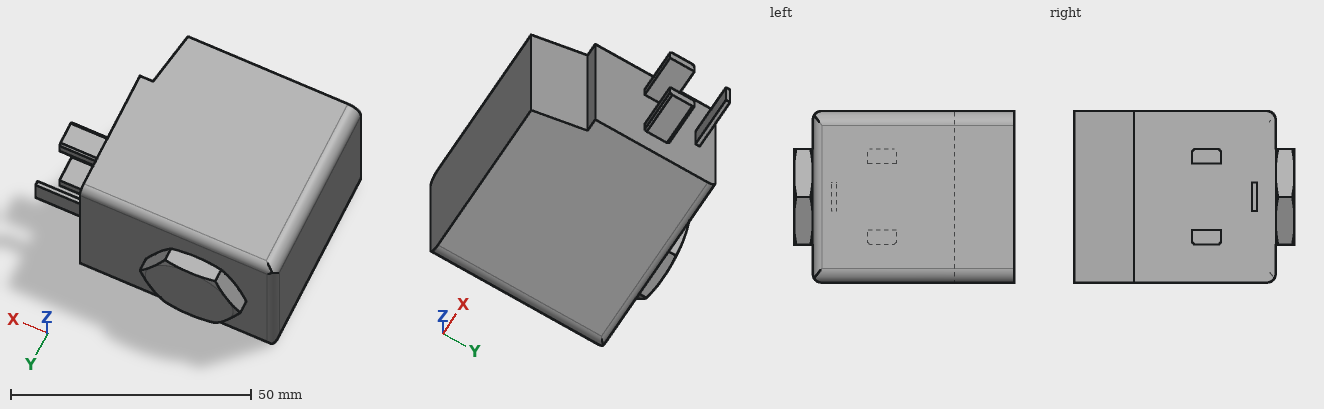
import cadquery as cq
import math

BODY_LENGTH = 45.0
BODY_DEPTH = 42.0
BODY_HEIGHT = 35.8
OVERALL_DEPTH = 45.9
SIDE_RADIUS = 3.0
BACK_RADIUS = 1.95

STEP_Y = 12.5
STEP_X = 41.95
FRONT_END_X = 39.8

HEX_SIDES = 6
NUT_ACROSS_FLATS = 20.0
NUT_X = 18.0
NUT_THICKNESS = OVERALL_DEPTH - BODY_DEPTH
NUT_FACE_RADIUS = 10.1
NUT_CHAMFER_ANGLE = 18

PIN_WIDTH = 6.0
BLADE_THICKNESS = 1.0
BLADE_TIP_X = 57
BLADE_Y = 37.55
SIDE_PIN_TIP_X = 55.0
SIDE_PIN_Y = 27.6
SIDE_PIN_THICKNESS = 3.0
SIDE_PIN_OUTER_Z = 10.0
SIDE_PIN_CHAMFER = 0.5


def rounded_block(edges, radius):
    block = cq.Workplane("XY").box(BODY_LENGTH, BODY_DEPTH, BODY_HEIGHT, centered=(False, False, True))
    return block.edges(edges).fillet(radius)


def make_housing():
    outline = [
        (0, 0),
        (FRONT_END_X, 0),
        (STEP_X, STEP_Y),
        (BODY_LENGTH, STEP_Y),
        (BODY_LENGTH, BODY_DEPTH),
        (0, BODY_DEPTH),
    ]
    body = cq.Workplane("XY").polyline(outline).close().extrude(BODY_HEIGHT / 2, both=True)
    side_rounded = rounded_block("|Y and <X", SIDE_RADIUS)
    left_back_rounded = rounded_block("|Z and >Y and <X", BACK_RADIUS)
    top_bottom_back_rounded = rounded_block("|X and >Y", BACK_RADIUS)
    body = body.intersect(side_rounded)
    body = body.intersect(left_back_rounded)
    return body.intersect(top_bottom_back_rounded)


def make_nut():
    across_corners = NUT_ACROSS_FLATS / math.cos(math.pi / HEX_SIDES)
    corner_radius = across_corners / 2
    chamfer_drop = (corner_radius - NUT_FACE_RADIUS) * math.tan(math.radians(NUT_CHAMFER_ANGLE))
    hexagon = cq.Workplane("XY").polygon(HEX_SIDES, across_corners).extrude(NUT_THICKNESS)
    profile = [
        (0, 0),
        (NUT_FACE_RADIUS, 0),
        (corner_radius, chamfer_drop),
        (corner_radius, NUT_THICKNESS - chamfer_drop),
        (NUT_FACE_RADIUS, NUT_THICKNESS),
        (0, NUT_THICKNESS),
    ]
    disc = cq.Workplane("XZ").polyline(profile).close().revolve(360, (0, 0), (0, 1))
    nut = hexagon.intersect(disc)
    return nut.rotate((0, 0, 0), (1, 0, 0), -90).translate((NUT_X, BODY_DEPTH, 0))


def make_pin(tip_x, center_y, center_z, size_y, size_z):
    pin = cq.Workplane("XY").box(tip_x - BODY_LENGTH, size_y, size_z, centered=(False, True, True))
    return pin.translate((BODY_LENGTH, center_y, center_z))


def make_side_pin(side):
    center_z = side * (SIDE_PIN_OUTER_Z - SIDE_PIN_THICKNESS / 2)
    pin = make_pin(SIDE_PIN_TIP_X, SIDE_PIN_Y, center_z, PIN_WIDTH, SIDE_PIN_THICKNESS)
    outer_face = ">Z" if side > 0 else "<Z"
    return pin.faces(outer_face).edges("|X").chamfer(SIDE_PIN_CHAMFER)


result = make_housing().union(make_nut())
result = result.union(make_pin(BLADE_TIP_X, BLADE_Y, 0, BLADE_THICKNESS, PIN_WIDTH))
for side in (-1, 1):
    result = result.union(make_side_pin(side))